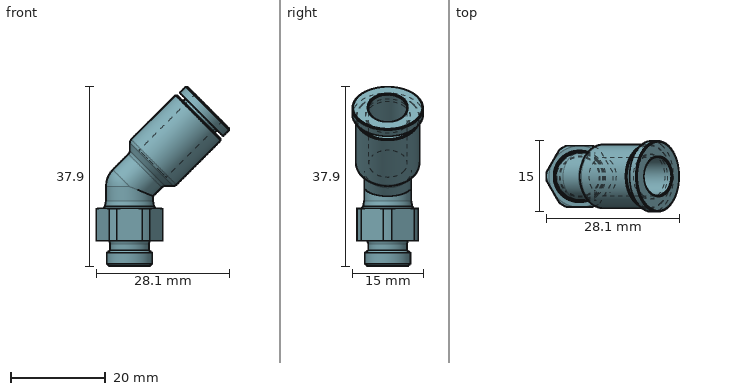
import cadquery as cq
import math

STUD_RADIUS = 4.85
STUD_TIP_CHAMFER = 0.53
STUD_SHOULDER_Z = 2.8
GROOVE_RADIUS = 4.15
GROOVE_BOTTOM_Z = 3.3
GROOVE_TOP_Z = 4.75
GROOVE_FLARE_RADIUS = 4.32

HEX_BOTTOM_Z = 5.35
HEX_TOP_Z = 12.25
HEX_ACROSS_FLATS = 13.0
HEX_TURNED_RADIUS = 7.05
HEX_CHAMFER_HEIGHT = 0.15

PIPE_RADIUS = 5.0
NECK_FOOT_RADIUS = 5.5
NECK_TAPER_RADIUS = 5.23
NECK_TAPER_BOTTOM_Z = 12.6
NECK_TAPER_TOP_Z = 13.8

ELBOW_Z = 16.83
ELBOW_ANGLE = 45

BODY_RADIUS = 6.8
BODY_START = 6.85
CONE_START = BODY_START - (BODY_RADIUS - PIPE_RADIUS)
BODY_END = 20.75
BODY_CHAMFER = 0.23
BODY_FILLET = 1.0
EDGE_MARGIN = 0.38
SLEEVE_RADIUS = 4.75
COLLAR_START = 21.5
COLLAR_END = 23.55
COLLAR_CHAMFER = 0.23
COLLAR_LENGTH = 15.0
COLLAR_WIDTH = 13.0
BORE_RADIUS = 4.05
BORE_CHAMFER = 0.23
BORE_FLOOR = BODY_START


def revolve_profile(points):
    """Turn a radius-height outline around the Z axis."""
    return cq.Workplane("XZ").polyline(points).close().revolve(360, (0, 0), (0, 1))


def make_stud():
    return revolve_profile([
        (0, 0),
        (STUD_RADIUS - STUD_TIP_CHAMFER, 0),
        (STUD_RADIUS, STUD_TIP_CHAMFER),
        (STUD_RADIUS, STUD_SHOULDER_Z),
        (GROOVE_RADIUS, GROOVE_BOTTOM_Z),
        (GROOVE_RADIUS, GROOVE_TOP_Z),
        (GROOVE_FLARE_RADIUS, HEX_BOTTOM_Z),
        (0, HEX_BOTTOM_Z),
    ])


def make_hexagon():
    """Hexagon with corners on the X axis, turned down at its corners and top edge."""
    across_corners = HEX_ACROSS_FLATS / math.cos(math.radians(30))
    hexagon = (
        cq.Workplane("XY", origin=(0, 0, HEX_BOTTOM_Z))
        .polygon(6, across_corners)
        .extrude(HEX_TOP_Z - HEX_BOTTOM_Z)
    )
    turned_envelope = revolve_profile([
        (0, HEX_BOTTOM_Z),
        (HEX_TURNED_RADIUS, HEX_BOTTOM_Z),
        (HEX_TURNED_RADIUS, HEX_TOP_Z - HEX_CHAMFER_HEIGHT),
        (HEX_ACROSS_FLATS / 2, HEX_TOP_Z),
        (0, HEX_TOP_Z),
    ])
    return hexagon.intersect(turned_envelope)


def make_neck():
    return revolve_profile([
        (0, HEX_TOP_Z),
        (NECK_FOOT_RADIUS, HEX_TOP_Z),
        (NECK_TAPER_RADIUS, NECK_TAPER_BOTTOM_Z),
        (PIPE_RADIUS, NECK_TAPER_TOP_Z),
        (PIPE_RADIUS, ELBOW_Z),
        (0, ELBOW_Z),
    ])


def make_body():
    """Pipe, 45 degree cone and wide socket, with both ends of the cone rounded."""
    body = revolve_profile([
        (0, 0),
        (PIPE_RADIUS, 0),
        (PIPE_RADIUS, CONE_START),
        (BODY_RADIUS, BODY_START),
        (BODY_RADIUS, BODY_END),
        (0, BODY_END),
    ])
    body = body.faces(">Z").edges().chamfer(BODY_CHAMFER)
    cone_zone = cq.selectors.BoxSelector(
        (-BODY_RADIUS, -BODY_RADIUS, CONE_START - EDGE_MARGIN),
        (BODY_RADIUS, BODY_RADIUS, BODY_START + EDGE_MARGIN),
    )
    return body.edges("%CIRCLE").edges(cone_zone).fillet(BODY_FILLET)


def make_release_collar():
    """Oval push collar on a round sleeve; the long side of the oval lies along Y."""
    sleeve = (
        cq.Workplane("XY", origin=(0, 0, BODY_END))
        .circle(SLEEVE_RADIUS)
        .extrude(COLLAR_START - BODY_END)
    )
    collar = (
        cq.Workplane("XY", origin=(0, 0, COLLAR_START))
        .ellipse(COLLAR_WIDTH / 2, COLLAR_LENGTH / 2)
        .extrude(COLLAR_END - COLLAR_START)
        .faces(">Z").edges().chamfer(COLLAR_CHAMFER)
    )
    return sleeve.union(collar)


def make_tube_bore():
    return revolve_profile([
        (0, BORE_FLOOR),
        (BORE_RADIUS, BORE_FLOOR),
        (BORE_RADIUS, COLLAR_END - BORE_CHAMFER),
        (BORE_RADIUS + BORE_CHAMFER, COLLAR_END),
        (0, COLLAR_END),
    ])


def make_inclined_arm():
    arm = make_body().union(make_release_collar()).cut(make_tube_bore())
    return arm.rotate((0, 0, 0), (0, 1, 0), ELBOW_ANGLE).translate((0, 0, ELBOW_Z))


elbow_ball = cq.Workplane("XY", origin=(0, 0, ELBOW_Z)).sphere(PIPE_RADIUS)

result = (
    make_stud()
    .union(make_hexagon())
    .union(make_neck())
    .union(elbow_ball)
    .union(make_inclined_arm())
)